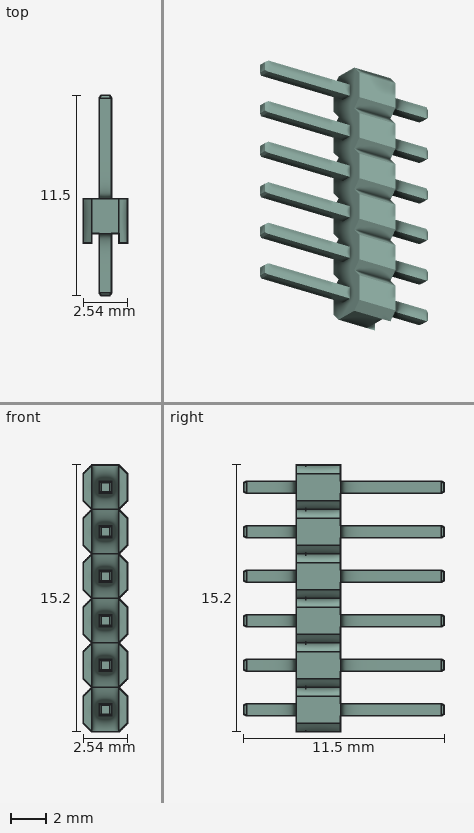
import cadquery as cq

position_count = 6
row_length = 15.24
pitch = row_length / position_count

block_size = pitch
block_bevel = 0.5
slot_width = block_size - 2 * block_bevel
slot_depth = 0.55

pin_length = 11.45
pin_width = 0.7
pin_front_reach = 3.0
tip_length = 0.17
tip_inset = 0.1
end_width = pin_width - 2 * tip_inset

block_front = -block_size / 2
pin_front = block_front - pin_front_reach
pin_back = pin_front + pin_length


def make_block():
    """Octagonal block centred on the origin, with a full-height slot in its front face."""
    block = (
        cq.Workplane("XY")
        .box(block_size, block_size, block_size)
        .edges("|Y")
        .chamfer(block_bevel)
    )
    slot = cq.Workplane("XY").box(slot_width, slot_depth, block_size)
    slot_center_y = block_front + slot_depth / 2
    return block.cut(slot.translate((0, slot_center_y, 0)))


def make_tip():
    """Square frustum that narrows toward -Y, from the pin section at Y = 0."""
    return (
        cq.Workplane("XZ")
        .rect(pin_width, pin_width)
        .workplane(offset=tip_length)
        .rect(end_width, end_width)
        .loft(ruled=True)
    )


def make_pin():
    """Square pin along Y, tapered at both ends."""
    shank_length = pin_length - 2 * tip_length
    shank_center_y = (pin_front + pin_back) / 2
    shank = cq.Workplane("XY").box(pin_width, shank_length, pin_width).translate((0, shank_center_y, 0))
    front_tip = make_tip().translate((0, pin_front + tip_length, 0))
    back_tip = make_tip().mirror("XZ").translate((0, pin_back - tip_length, 0))
    return shank.union(front_tip).union(back_tip)


def make_position():
    """One header position: block and pin joined into a single solid."""
    return make_block().union(make_pin())


header_positions = []
for index in range(position_count):
    position_z = (index - (position_count - 1) / 2) * pitch
    header_positions.append(make_position().translate((0, 0, position_z)))

result = cq.Compound.makeCompound([position.solids().val() for position in header_positions])